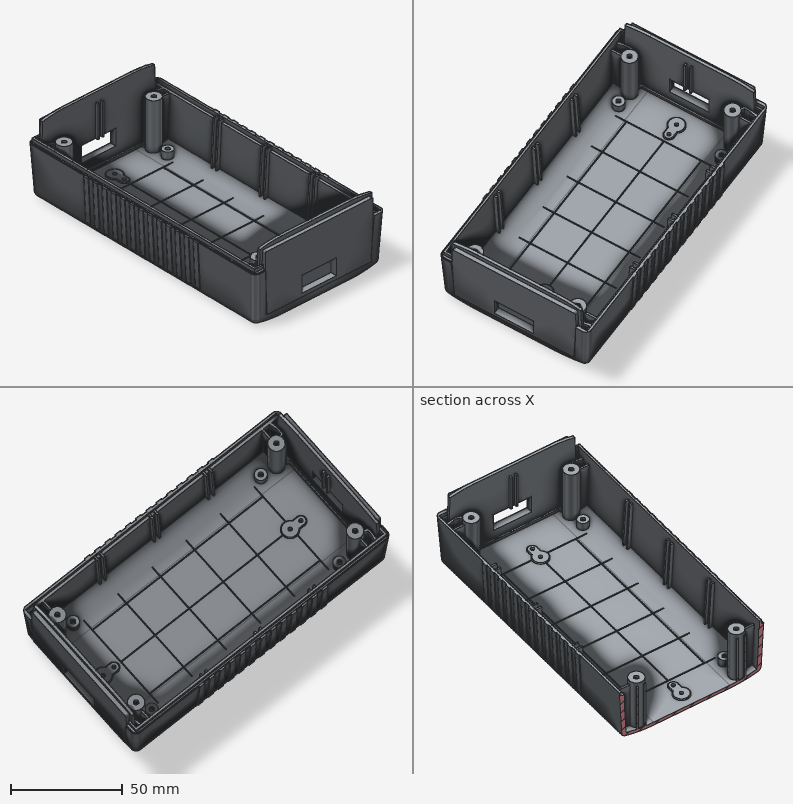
import cadquery as cq
import math

length = 150.0
width = 79.5
rim_z = 30.2
draft = 3.0
draft_slope = math.tan(math.radians(draft))
corner_radius = 2.8
bottom_fillet = 2.7
overshoot = 7.5

flat_half_width = 21.0
floor_curve_radius = 61.5
floor_thickness = 2.1

end_wall = 2.7
side_wall = 2.5
cavity_half_length = length / 2 - end_wall
cavity_half_width = width / 2 - side_wall

joint_half_length = 73.4
joint_half_width = 38.5
tongue_top_z = 32.5
groove_floor_z = 27.9
step_inset = 0.5
step_height = 0.5

plate_outer_x = 74.4
plate_bottom_z = 5.8
plate_top_z = 39.8
plate_bottom_half_width = 31.8
plate_rim_half_width = 33.0
plate_top_half_width = 32.8
plate_corner_radius = 0.8
plate_clearance = 0.22
flange_thickness = 1.5
flange_inner_x = cavity_half_length - flange_thickness
flange_bottom_half_width = 33.2
flange_rim_half_width = 34.6
flange_top_half_width = 34.2
panel_top_z = 42.2
window_half_width = 10.5
window_bottom_z = 7.8
window_top_z = 17.4

slot_rib_width = 0.9
slot_rib_offset = 1.5
slot_rib_depth = 1.8
slot_rib_top_z = 29.8
slot_spacing = 31.6
panel_rib_depth = 1.5
panel_rib_top_z = 36.5

grip_count = 13
grip_pitch = 6.0
grip_width = 3.0
grip_height = 0.52
grip_bottom_z = 4.8

post_x = 64.0
post_y = 27.5
post_radius = 3.9
post_top_z = rim_z
boss_x = 54.9
boss_radius = 2.92
boss_top_z = 6.5
screw_hole_radius = 1.2
web_thickness = 0.98
web_top_z = 27.9

keeper_x = 69.9
keeper_thickness = 0.9
keeper_gap = 2.2
keeper_low_z = 3.6
keeper_high_z = 27.9
keeper_bend_y = 33.2
keeper_wall_shift = 0.5
keeper_wall_thickness = 1.5
keeper_arm_end_x = 67.8

grid_pitch = 20.0
grid_columns = 6
grid_rows = 3
grid_rib_width = 0.38
grid_rib_height = 0.2
grid_half_width = 27.0

keyhole_xs = (-60.3, 49.0)
keyhole_radius = 4.4
keyhole_slot_length = 6.3
keyhole_slot_radius = 2.7
keyhole_pad_height = 0.6
keyhole_chamfer = 0.5
pip_radius = 0.98
pip_bottom_radius = 0.5
pip_depth = 0.8


def curve_rise(y):
    """Height gained by the curved part of the floor at a distance y from the middle."""
    run = y - flat_half_width
    return floor_curve_radius - math.sqrt(floor_curve_radius**2 - run**2)


def box(x0, x1, y0, y1, z0, z1):
    """Box between two corners."""
    return cq.Workplane("XY").box(x1 - x0, y1 - y0, z1 - z0, centered=False).translate((x0, y0, z0))


def cylinder(x, y, radius, z0, z1):
    """Upright cylinder."""
    return cq.Workplane("XY").center(x, y).circle(radius).extrude(z1 - z0).translate((0, 0, z0))


def upright(points, z0, z1):
    """Upright prism on a plan outline."""
    return cq.Workplane("XY").polyline(points).close().extrude(z1 - z0).translate((0, 0, z0))


def drafted_block(half_length, half_width, top_z):
    """Block that narrows downwards from top_z to the ground with the wall draft."""
    return (
        cq.Workplane("XY", origin=(0, 0, top_z))
        .rect(2 * half_length, 2 * half_width)
        .extrude(-top_z, taper=draft)
    )


def space_above_floor(floor_z):
    """Everything above the curved floor whose flat middle lies at floor_z."""
    edge_y = width / 2 + overshoot
    mid_y = (flat_half_width + edge_y) / 2
    edge_z = floor_z + curve_rise(edge_y)
    mid_z = floor_z + curve_rise(mid_y)
    top_z = panel_top_z + overshoot
    return (
        cq.Workplane("YZ")
        .moveTo(-flat_half_width, floor_z)
        .lineTo(flat_half_width, floor_z)
        .threePointArc((mid_y, mid_z), (edge_y, edge_z))
        .lineTo(edge_y, top_z)
        .lineTo(-edge_y, top_z)
        .lineTo(-edge_y, edge_z)
        .threePointArc((-mid_y, mid_z), (-flat_half_width, floor_z))
        .close()
        .extrude(length / 2 + overshoot, both=True)
    )


def mirrored_four(shape):
    """The shape and its copies in the other three quarters of the plan."""
    pair = shape.union(shape.mirror("YZ"))
    return pair.union(pair.mirror("XZ"))


def plate_prism(x0, x1, top_z, top_half_width, clearance):
    """Prism along X with the outline of the outer plate of an end panel, wider by the clearance."""
    bottom_half_width = plate_bottom_half_width + clearance
    rim_half_width = plate_rim_half_width + clearance
    top_half_width = top_half_width + clearance
    return (
        cq.Workplane("YZ", origin=(x0, 0, 0))
        .polyline([
            (-bottom_half_width, plate_bottom_z),
            (bottom_half_width, plate_bottom_z),
            (rim_half_width, rim_z),
            (top_half_width, top_z),
            (-top_half_width, top_z),
            (-rim_half_width, rim_z),
        ])
        .close()
        .extrude(x1 - x0)
    )


def make_shell():
    """Drafted tray with rounded outer edges, before the fittings are added."""
    outer = drafted_block(length / 2, width / 2, rim_z).edges("not(#Z)")
    outer = outer.fillet(corner_radius).intersect(space_above_floor(0))
    outer = outer.faces("<Z").edges("|Y").fillet(bottom_fillet)
    return outer.cut(make_cavity())


def make_cavity():
    """Inside of the tray: drafted long sides, plain upright ends, curved floor."""
    top_z = tongue_top_z
    top_half_width = cavity_half_width + (top_z - rim_z) * draft_slope
    bottom_half_width = top_half_width - top_z * draft_slope
    section = [
        (-bottom_half_width, 0),
        (bottom_half_width, 0),
        (top_half_width, top_z),
        (-top_half_width, top_z),
    ]
    prism = cq.Workplane("YZ").polyline(section).close().extrude(cavity_half_length, both=True)
    return prism.intersect(space_above_floor(floor_thickness))


def add_rim_joint(shell):
    """Tongue with an outer step on the -Y half, groove on the +Y half."""
    ledge_x = length / 2 - step_inset
    ledge_y = width / 2 - step_inset
    ledge_z = rim_z + step_height
    tongue = box(-joint_half_length, joint_half_length, -joint_half_width, 0, rim_z, tongue_top_z)
    ledge = box(-ledge_x, ledge_x, -ledge_y, 0, rim_z, ledge_z)
    ledge = ledge.edges("|Z and <Y").fillet(corner_radius - step_inset)
    groove = box(-joint_half_length, joint_half_length, 0, joint_half_width, groove_floor_z, rim_z)
    return shell.union(tongue.union(ledge).cut(make_cavity())).cut(groove)


def make_grip_ribs():
    """Rows of upright ribs that follow the draft of both long outer sides."""
    band = drafted_block(length / 2, width / 2 + grip_height, rim_z)
    band = band.cut(drafted_block(length / 2, width / 2 - grip_height, rim_z))
    ribs = cq.Workplane("XY")
    for i in range(grip_count):
        x = (i - (grip_count - 1) / 2) * grip_pitch
        bar = box(x - grip_width / 2, x + grip_width / 2, -width, width, grip_bottom_z, rim_z)
        ribs = ribs.add(bar.intersect(band))
    return ribs.combine()


def make_slot_ribs():
    """Pairs of ribs along the long inner walls, parallel to the drafted wall."""
    inner = cavity_half_width - slot_rib_depth
    wall = cavity_half_width + side_wall / 2
    ribs = cq.Workplane("XY")
    for i in (-1, 0, 1):
        for side in (-1, 1):
            x = i * slot_spacing + side * slot_rib_offset
            rib = (
                cq.Workplane("YZ", origin=(x - slot_rib_width / 2, 0, 0))
                .polyline([
                    (inner - rim_z * draft_slope, 0),
                    (inner - (rim_z - slot_rib_top_z) * draft_slope, slot_rib_top_z),
                    (wall - (rim_z - slot_rib_top_z) * draft_slope, slot_rib_top_z),
                    (wall - rim_z * draft_slope, 0),
                ])
                .close()
                .extrude(slot_rib_width)
            )
            ribs = ribs.add(rib).add(rib.mirror("XZ"))
    return ribs.combine()


def make_posts():
    """Four tall screw posts, each with a web to the wall, and four low bosses."""
    post = cylinder(post_x, post_y, post_radius, 0, post_top_z)
    web = box(
        post_x - web_thickness / 2, post_x + web_thickness / 2,
        post_y, cavity_half_width, 0, web_top_z,
    )
    boss = cylinder(boss_x, post_y, boss_radius, 0, boss_top_z)
    return mirrored_four(post.union(web).union(boss))


def make_screw_holes():
    """Blind holes of the posts and bosses, down to the flat floor."""
    holes = cylinder(post_x, post_y, screw_hole_radius, floor_thickness, post_top_z)
    holes = holes.union(cylinder(boss_x, post_y, screw_hole_radius, floor_thickness, boss_top_z))
    return mirrored_four(holes)


def make_keepers():
    """Low ribs along the end panels, and tall ribs from the posts to the long walls."""
    inner_x = keeper_x - keeper_thickness
    near_y = post_y - keeper_gap
    far_y = post_y + keeper_gap
    low = box(inner_x, keeper_x, 0, near_y, 0, keeper_low_z)
    arm_outline = [
        (keeper_x, near_y),
        (post_x, post_y),
        (post_x, post_y - keeper_thickness),
        (inner_x, near_y - keeper_thickness),
    ]
    low_arm = upright(arm_outline, 0, keeper_low_z)
    tall_arm = upright(arm_outline, 0, keeper_high_z)
    tall_arm = tall_arm.intersect(box(0, keeper_arm_end_x, 0, width, 0, keeper_high_z))
    high = upright([
        (keeper_x, far_y),
        (keeper_x, keeper_bend_y),
        (keeper_x - keeper_wall_shift, cavity_half_width),
        (keeper_x - keeper_wall_shift - keeper_wall_thickness, cavity_half_width),
        (inner_x, keeper_bend_y),
        (inner_x, far_y + keeper_thickness),
        (post_x, post_y + keeper_thickness),
        (post_x, post_y),
    ], 0, keeper_high_z)
    return mirrored_four(low.union(low_arm).union(tall_arm).union(high))


def make_floor_grid():
    """Shallow crossing ribs with one flat top; their ends run out into the curved floor."""
    top_z = floor_thickness + grid_rib_height
    half_rib = grid_rib_width / 2
    half_length = grid_pitch * (grid_columns - 1) / 2
    grid = cq.Workplane("XY")
    for i in range(grid_columns):
        x = i * grid_pitch - half_length
        grid = grid.add(box(x - half_rib, x + half_rib, -grid_half_width, grid_half_width, 0, top_z))
    for i in range(grid_rows):
        y = (i - (grid_rows - 1) / 2) * grid_pitch
        grid = grid.add(box(-half_length, half_length, y - half_rib, y + half_rib, 0, top_z))
    return grid.combine()


def make_keyhole_pad(x):
    """Raised keyhole-shaped pad with a chamfered edge and its wide end at x."""
    top_z = floor_thickness + keyhole_pad_height
    slot_x = x + keyhole_slot_length
    pad = cylinder(x, 0, keyhole_radius, 0, top_z)
    pad = pad.union(box(x, slot_x, -keyhole_slot_radius, keyhole_slot_radius, 0, top_z))
    pad = pad.union(cylinder(slot_x, 0, keyhole_slot_radius, 0, top_z))
    return pad.faces(">Z").chamfer(keyhole_chamfer)


def make_pips(x):
    """Two small conical pits of the keyhole pad at x."""
    top_z = floor_thickness + keyhole_pad_height
    cone = cq.Solid.makeCone(pip_bottom_radius, pip_radius, pip_depth)
    first = cq.Workplane(cone).translate((x, 0, top_z - pip_depth))
    return first.union(first.translate((keyhole_slot_length, 0, 0)))


def make_panel_openings():
    """Cuts through both end walls for the outer plates of the panels."""
    outside_x = length / 2 + overshoot
    opening = plate_prism(
        cavity_half_length, outside_x, panel_top_z, plate_rim_half_width, plate_clearance,
    )
    return opening.union(opening.mirror("YZ"))


def make_housing():
    """Open tray with all its fittings."""
    fittings = make_slot_ribs().union(make_posts()).union(make_keepers()).union(make_floor_grid())
    for x in keyhole_xs:
        fittings = fittings.union(make_keyhole_pad(x))
    fittings = fittings.intersect(space_above_floor(floor_thickness / 2))
    housing = add_rim_joint(make_shell()).union(make_grip_ribs()).union(fittings)
    housing = housing.cut(make_screw_holes()).cut(make_panel_openings())
    for x in keyhole_xs:
        housing = housing.cut(make_pips(x))
    return housing


def make_end_panel():
    """End panel at +X: outer plate, wider flange behind it, window and slot ribs."""
    plate = plate_prism(cavity_half_length, plate_outer_x, plate_top_z, plate_top_half_width, 0)
    plate = plate.edges("|X and >Z").fillet(plate_corner_radius)
    flange = (
        cq.Workplane("YZ", origin=(flange_inner_x, 0, 0))
        .polyline([
            (-flange_bottom_half_width, 0),
            (flange_bottom_half_width, 0),
            (flange_rim_half_width, rim_z),
            (flange_top_half_width, panel_top_z),
            (-flange_top_half_width, panel_top_z),
            (-flange_rim_half_width, rim_z),
        ])
        .close()
        .extrude(flange_thickness)
    )
    flange = flange.intersect(space_above_floor(floor_thickness))
    below_top = space_above_floor(0).rotate((0, 0, 0), (1, 0, 0), 180).translate((0, 0, panel_top_z))
    panel = plate.union(flange.intersect(below_top))
    for side in (-1, 1):
        y = side * slot_rib_offset
        half_rib = slot_rib_width / 2
        panel = panel.union(box(
            flange_inner_x - panel_rib_depth, flange_inner_x,
            y - half_rib, y + half_rib, window_top_z, panel_rib_top_z,
        ))
    window = box(0, length, -window_half_width, window_half_width, window_bottom_z, window_top_z)
    return panel.cut(window)


housing = make_housing()
end_panels = [make_end_panel().rotate((0, 0, 0), (0, 0, 1), angle) for angle in (0, 180)]
result = cq.Compound.makeCompound([housing.val(), *[panel.val() for panel in end_panels]])